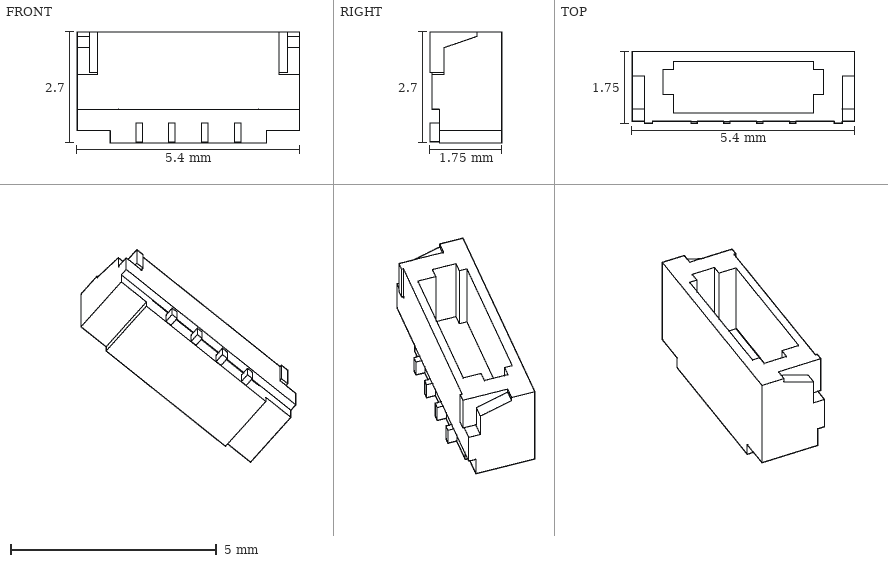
import cadquery as cq

length = 5.4
depth = 1.75
height = 2.7
front_depth = 1.7

base_depth = 1.52
base_top = 0.815
foot_length = 3.8
foot_height = 0.3

cavity_length = 3.4
cavity_back = 0.245
cavity_front = 1.5
wing_length = 3.9
wing_back = 0.44
wing_front = 1.04
cavity_floor = base_top

notch_width = 0.295
notch_back = 0.6
notch_front = 1.405
notch_drop = 0.11
slope_bottom = 2.315
ledge_height = 1.665
pad_width = 0.2
pad_bottom = 1.71

pin_count = 4
pin_pitch = 0.8
pin_width = 0.155
pin_bottom = 0.025
pin_top = 0.49


def block(x_min, x_max, y_near_back, y_near_front, z_min, z_max):
    """Box whose Y limits are distances forward of the back face."""
    size = (x_max - x_min, y_near_front - y_near_back, z_max - z_min)
    return cq.Workplane("XY").box(*size, centered=False).translate((x_min, -y_near_front, z_min))


def centred_block(width, y_near_back, y_near_front, z_min, z_max):
    """Block centred on X = 0."""
    return block(-width / 2, width / 2, y_near_back, y_near_front, z_min, z_max)


def make_housing():
    upper = centred_block(length, 0, front_depth, base_top, height)
    base = centred_block(length, 0, base_depth, foot_height, base_top)
    foot = centred_block(foot_length, 0, base_depth, 0, foot_height)
    return upper.union(base).union(foot)


def make_cavity():
    main = centred_block(cavity_length, cavity_back, cavity_front, cavity_floor, height)
    wings = centred_block(wing_length, wing_back, wing_front, cavity_floor, height)
    return main.union(wings)


def make_left_notch():
    profile = [
        (-notch_back, height),
        (-notch_back, height - notch_drop),
        (-notch_front, slope_bottom),
        (-notch_front, ledge_height),
        (-depth, ledge_height),
        (-depth, height),
    ]
    slope = cq.Workplane("YZ").polyline(profile).close().extrude(notch_width)
    return slope.translate((-length / 2, 0, 0))


def make_left_pad_gap():
    """Narrow gap between the pad underside and the notch ledge."""
    gap_start = -length / 2 + notch_width
    return block(gap_start, gap_start + pad_width, notch_front, depth, ledge_height, pad_bottom)


def make_left_pad():
    pad_start = -length / 2 + notch_width
    return block(pad_start, pad_start + pad_width, notch_front, depth, pad_bottom, height)


def both_ends(left_shape):
    return left_shape.union(left_shape.mirror("YZ"))


result = make_housing().cut(make_cavity())
result = result.cut(both_ends(make_left_notch()))
result = result.cut(both_ends(make_left_pad_gap()))
result = result.union(both_ends(make_left_pad()))

for index in range(pin_count):
    pin_x = (index - (pin_count - 1) / 2) * pin_pitch
    pin_left = pin_x - pin_width / 2
    pin = block(pin_left, pin_left + pin_width, base_depth, depth, pin_bottom, pin_top)
    result = result.union(pin)